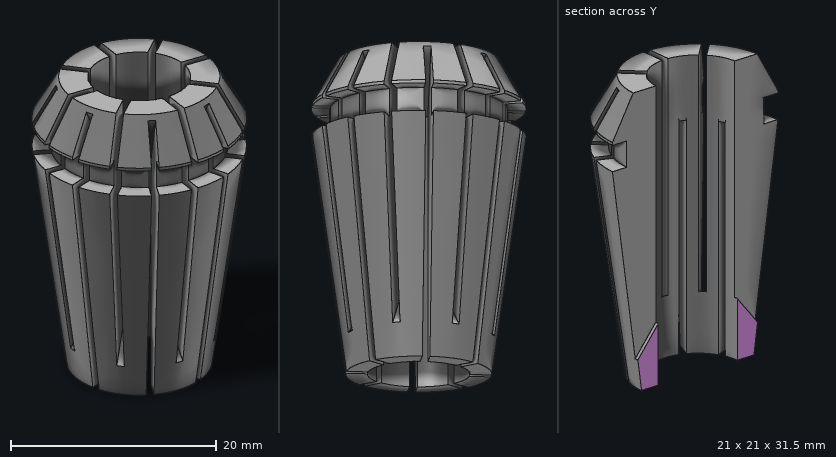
import cadquery as cq
import math

height = 31.5
rim_radius = 10.5
bore_radius = 5.0

taper_top = 23.88
taper_half_angle = 8.0
foot_radius = rim_radius - taper_top * math.tan(math.radians(taper_half_angle))

groove_radius = 8.7
groove_top = 26.65

rim_height = 0.3
rim_top = groove_top + rim_height
nose_half_angle = 30.0
nose_radius = rim_radius - (height - rim_top) * math.tan(math.radians(nose_half_angle))

slits_per_end = 8
slit_pitch = 360.0 / slits_per_end
slit_width = 0.75
top_slit_rise = 3.18
bottom_slit_drop = 6.3
top_slit_outer_floor = 3.37
top_slit_outer_radius = foot_radius + top_slit_outer_floor * math.tan(math.radians(taper_half_angle))
bottom_slit_outer_ceiling = 30.95
bottom_slit_outer_radius = nose_radius + (height - bottom_slit_outer_ceiling) * math.tan(
    math.radians(nose_half_angle)
)
overshoot = 1.58


def make_body():
    """Revolve the wall section, from the bore out to the tapers, about Z."""
    return (
        cq.Workplane("XZ")
        .moveTo(bore_radius, 0)
        .lineTo(foot_radius, 0)
        .lineTo(rim_radius, taper_top)
        .lineTo(groove_radius, taper_top)
        .lineTo(groove_radius, groove_top)
        .lineTo(rim_radius, groove_top)
        .lineTo(rim_radius, rim_top)
        .lineTo(nose_radius, height)
        .lineTo(bore_radius, height)
        .close()
        .revolve(360, (0, 0, 0), (0, 1, 0))
    )


def make_slit(outer_radius, outer_z, open_z, inner_z):
    """Radial slit along +X with a sloped end that meets the outer wall and the bore."""
    slope = (inner_z - outer_z) / (outer_radius - bore_radius)
    near = bore_radius - overshoot
    far = rim_radius + overshoot

    def end_z(radius):
        return outer_z + slope * (outer_radius - radius)

    return (
        cq.Workplane("XZ")
        .polyline([(near, end_z(near)), (far, end_z(far)), (far, open_z), (near, open_z)])
        .close()
        .extrude(slit_width / 2, both=True)
    )


def cut_around(body, slit, first_angle):
    """Cut the slit into the body once per pitch around Z."""
    for i in range(slits_per_end):
        body = body.cut(slit.rotate((0, 0, 0), (0, 0, 1), first_angle + i * slit_pitch))
    return body


top_slit = make_slit(
    top_slit_outer_radius,
    top_slit_outer_floor,
    height + overshoot,
    top_slit_outer_floor + top_slit_rise,
)
bottom_slit = make_slit(
    bottom_slit_outer_radius,
    bottom_slit_outer_ceiling,
    -overshoot,
    bottom_slit_outer_ceiling - bottom_slit_drop,
)

result = cut_around(make_body(), top_slit, 0)
result = cut_around(result, bottom_slit, slit_pitch / 2)